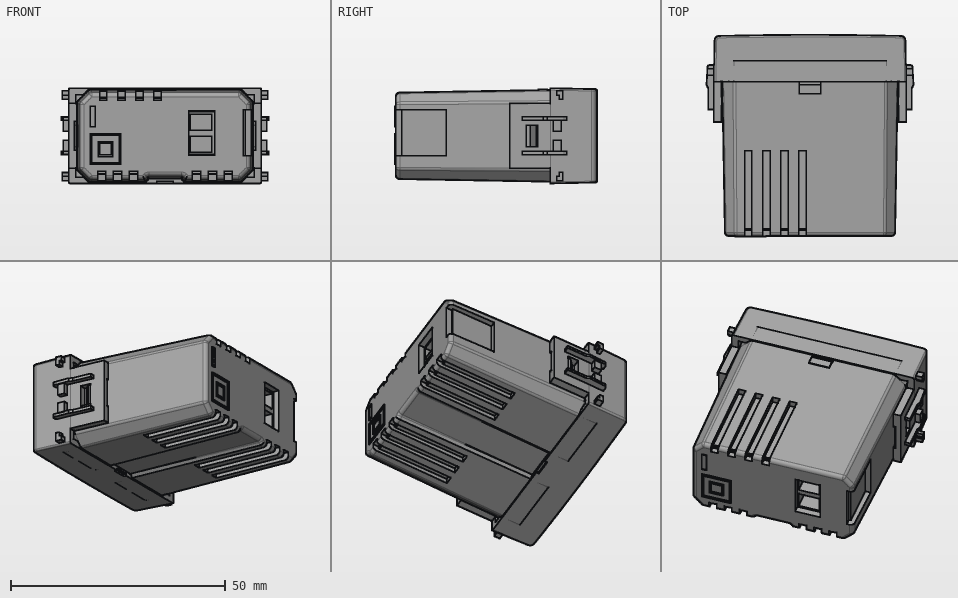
import cadquery as cq
import math


COVER_HALF_WIDTH = 22.5
COVER_HALF_HEIGHT = 22.3 / 2
COVER_DEPTH = 11.0
COVER_TAPER = 1.2
FACE_BOW = 0.3
FACE_END_RADIUS = 1.15
COVER_EDGE_RADIUS = 0.45
CORNER_POCKET_HALF_WIDTH = 20.85
CORNER_POCKET_HALF_HEIGHT = 9.65
RIM_NOTCH_WIDTH = 3.9
RIM_NOTCH_HEIGHT = 0.55
RIM_NOTCH_DEPTH = 0.7

WING_LENGTH = 9.45
WING_HALF_HEIGHT = 7.55
LEAD_IN_HALF_HEIGHT = 3.4
LEAD_IN_DEPTH = 0.6
LEAD_IN_LENGTH = 1.15
WINDOW_FRONT_Y = -2.9
WINDOW_BACK_Y = -5.6
WINDOW_HALF_HEIGHT = 2.5

OVERALL_HALF_WIDTH = 24.2
RAIL_OUTER_Z = 4.4
RAIL_THICKNESS = 0.77
RAIL_FRONT_Y = 3.9
RAIL_SHOULDER_Y = 3.15
RAIL_PEAK_Y = -0.7
RAIL_HEEL_Y = -1.55
RAIL_BACK_Y = -6.55
RAIL_FRONT_X = 23.4
RAIL_SHOULDER_X = 23.95
RAIL_BACK_X = 23.8
BLOCK_FRONT_Y = 2.6
BLOCK_BACK_Y = 0.77
BLOCK_INNER_Z = 1.0
NUB_X = 24.0
NUB_FRONT_Y = 3.0
NUB_STEP_Y = 2.1
NUB_BACK_Y = 1.5
NUB_OUTER_Z = 10.55
NUB_STEP_Z = 9.45
NUB_INNER_Z = 8.5
SNAP_ROOT_X = 21.3

HOUSING_HALF_WIDTH = 20.5
HOUSING_HALF_HEIGHT = 10.75
HOUSING_LENGTH = 36.05
HOUSING_TAPER = 1.0
PLUG_DEPTH = 4.85
PLUG_CLEARANCE = 0.1
WING_INNER_X = HOUSING_HALF_WIDTH + PLUG_CLEARANCE
HOUSING_CHAMFER = 2.75
CHAMFER_EDGE_RADIUS = 0.95
BACK_EDGE_RADIUS = 0.95
CHANNEL_HALF_WIDTH = 4.6
CHANNEL_DEPTH = 0.77

SLOT_FRONT_Y = -16.1
SLOT_FLOOR_Z = 8.95
SLOT_SILL_Z = 8.8
SLOT_NOTCH_FLOOR_Z = 8.32
SLOT_SILL_FRONT_Y = -34.3
SLOT_SILL_BACK_Y = -34.65
TOP_SLOT_WIDTH = 1.75
TOP_SLOT_COUNT = 4
TOP_SLOT_FIRST_X = -14.4
TOP_SLOT_PITCH = 4.2
BOTTOM_SLOT_WIDTH = 1.9
BOTTOM_SLOT_FIRST_X = 7.35
BOTTOM_SLOT_PITCH = 3.75
BOTTOM_SLOTS_PER_SIDE = 3

TAB_WIDTH = 5.05
TAB_TOP_Z = 10.9
TAB_FRONT_Y = -0.7
TAB_BACK_Y = -2.75
TAB_GAP_FLOOR_Z = 10.15

BARB_X = 21.95
BARB_FRONT_Y = -3.3
BARB_CREST_Y = -4.65

SIDE_NOTCH_X = 18.8
SIDE_NOTCH_FRONT_Y = -24.2
SIDE_NOTCH_TOP_Z = 6.05
SIDE_NOTCH_BOTTOM_Z = -4.65
SIDE_LEDGE_WIDTH = 0.5
SIDE_LEDGE_DEPTH = 1.45

TERMINAL_LEFT_X = 5.5
TERMINAL_RIGHT_X = 11.65
TERMINAL_WINDOW_TOP_Z = 5.8
TERMINAL_WINDOW_BOTTOM_Z = -4.5
TERMINAL_GAP = 0.2
TERMINAL_SETBACK = 1.45
TERMINAL_DEPTH = 7.25
WIRE_HOLE_LEFT_X = 5.9
WIRE_HOLE_RIGHT_X = 10.95
WIRE_HOLE_HEIGHT = 3.8
WIRE_HOLE_BOTTOMS = (1.25, -3.85)
WIRE_HOLE_DEPTH = 4.85

MARK_HEIGHT = 0.2
MARK_LEFT_X = -17.45
BAR_WIDTH = 1.15
BAR_BOTTOM_Z = 2.15
BAR_TOP_Z = 6.85
FRAME_SIZE = 7.15
FRAME_CENTER_Z = -3.1
FRAME_WALL = 0.4
INNER_FRAME_SIZE = 3.5

CLEARANCE = 2.4


def box(x0, x1, y0, y1, z0, z1):
    return cq.Workplane("XY").box(x1 - x0, y1 - y0, z1 - z0, centered=False).translate((x0, y0, z0))


def both_ends(shape):
    return shape.union(shape.mirror("YZ"))


def top_and_bottom(shape):
    return shape.union(shape.mirror("XY"))




def housing_section():
    """Octagon with a 45 degree sided channel along the bottom, as points (x, z)."""
    chamfer_x = HOUSING_HALF_WIDTH - HOUSING_CHAMFER
    chamfer_z = HOUSING_HALF_HEIGHT - HOUSING_CHAMFER
    floor_half_width = CHANNEL_HALF_WIDTH - CHANNEL_DEPTH
    right_side = [
        (floor_half_width, CHANNEL_DEPTH - HOUSING_HALF_HEIGHT),
        (CHANNEL_HALF_WIDTH, -HOUSING_HALF_HEIGHT),
        (chamfer_x, -HOUSING_HALF_HEIGHT),
        (HOUSING_HALF_WIDTH, -chamfer_z),
        (HOUSING_HALF_WIDTH, chamfer_z),
        (chamfer_x, HOUSING_HALF_HEIGHT),
    ]
    return right_side + [(-x, z) for x, z in reversed(right_side)]


def corner_edges(body):
    """The eight lengthwise edges at the ends of the corner chamfers."""
    inside = CHANNEL_HALF_WIDTH + CLEARANCE
    return body.edges("not(#Y)").filter(lambda edge: abs(edge.Center().x) > inside)


def vent_slot(x, width):
    """Slot in the top that steps down over a low sill to a deeper notch at the back face."""
    back = -HOUSING_LENGTH - CLEARANCE
    top = HOUSING_HALF_HEIGHT + CLEARANCE
    outline = [
        (SLOT_FRONT_Y, top),
        (SLOT_FRONT_Y, SLOT_FLOOR_Z),
        (SLOT_SILL_FRONT_Y, SLOT_FLOOR_Z),
        (SLOT_SILL_FRONT_Y, SLOT_SILL_Z),
        (SLOT_SILL_BACK_Y, SLOT_SILL_Z),
        (SLOT_SILL_BACK_Y, SLOT_NOTCH_FLOOR_Z),
        (back, SLOT_NOTCH_FLOOR_Z),
        (back, top),
    ]
    slot = cq.Workplane("YZ").polyline(outline).close().extrude(width / 2, both=True)
    return slot.translate((x, 0, 0))


def cut_vents(body):
    for i in range(TOP_SLOT_COUNT):
        body = body.cut(vent_slot(TOP_SLOT_FIRST_X + i * TOP_SLOT_PITCH, TOP_SLOT_WIDTH))
    for i in range(BOTTOM_SLOTS_PER_SIDE):
        slot = vent_slot(BOTTOM_SLOT_FIRST_X + i * BOTTOM_SLOT_PITCH, BOTTOM_SLOT_WIDTH)
        body = body.cut(both_ends(slot.mirror("XY")))
    return body


def add_latch_tab(body):
    half = TAB_WIDTH / 2
    gap = box(-half, half, TAB_FRONT_Y, 0, TAB_GAP_FLOOR_Z, TAB_TOP_Z + CLEARANCE)
    tab = box(-half, half, TAB_BACK_Y, TAB_FRONT_Y, TAB_GAP_FLOOR_Z, TAB_TOP_Z)
    return body.cut(gap).union(tab)


def add_barbs(body):
    root_x = HOUSING_HALF_WIDTH - CLEARANCE
    foot_x = HOUSING_HALF_WIDTH + BARB_FRONT_Y * math.tan(math.radians(HOUSING_TAPER))
    outline = [
        (root_x, BARB_FRONT_Y),
        (foot_x, BARB_FRONT_Y),
        (BARB_X, BARB_CREST_Y),
        (BARB_X, WINDOW_BACK_Y),
        (root_x, WINDOW_BACK_Y),
    ]
    barb = cq.Workplane("XY").polyline(outline).close().extrude(WINDOW_HALF_HEIGHT, both=True)
    return body.union(both_ends(barb))


def cut_side_notch(body):
    outer_x = HOUSING_HALF_WIDTH + CLEARANCE
    back = -HOUSING_LENGTH - CLEARANCE
    notch = box(SIDE_NOTCH_X, outer_x, back, SIDE_NOTCH_FRONT_Y, SIDE_NOTCH_BOTTOM_Z, SIDE_NOTCH_TOP_Z)
    ledge = box(
        SIDE_NOTCH_X - SIDE_LEDGE_WIDTH,
        outer_x,
        back,
        SIDE_LEDGE_DEPTH - HOUSING_LENGTH,
        SIDE_NOTCH_BOTTOM_Z,
        SIDE_NOTCH_TOP_Z,
    )
    return body.cut(notch).cut(ledge)


def cut_terminal_window(body):
    window = box(
        TERMINAL_LEFT_X,
        TERMINAL_RIGHT_X,
        -HOUSING_LENGTH - CLEARANCE,
        TERMINAL_SETBACK + TERMINAL_DEPTH - HOUSING_LENGTH,
        TERMINAL_WINDOW_BOTTOM_Z,
        TERMINAL_WINDOW_TOP_Z,
    )
    return body.cut(window)


def raised_frame(size):
    center_x = MARK_LEFT_X + FRAME_SIZE / 2
    inside = size - 2 * FRAME_WALL
    face = cq.Workplane("XZ", origin=(center_x, -HOUSING_LENGTH, FRAME_CENTER_Z))
    return face.rect(size, size).rect(inside, inside).extrude(MARK_HEIGHT)


def add_marks(body):
    back = -HOUSING_LENGTH
    bar = box(MARK_LEFT_X, MARK_LEFT_X + BAR_WIDTH, back - MARK_HEIGHT, back, BAR_BOTTOM_Z, BAR_TOP_Z)
    return body.union(bar).union(raised_frame(FRAME_SIZE)).union(raised_frame(INNER_FRAME_SIZE))


def make_plug(clearance=0.0):
    """Straight length of the housing's section inside the cover, enlarged by a clearance."""
    section = cq.Workplane("XZ").polyline(housing_section()).close()
    if clearance > 0:
        section = section.offset2D(clearance)
    return section.extrude(-PLUG_DEPTH)


def make_housing():
    section = cq.Workplane("XZ").polyline(housing_section()).close()
    body = section.extrude(HOUSING_LENGTH, taper=HOUSING_TAPER)
    body = corner_edges(body).fillet(CHAMFER_EDGE_RADIUS)
    body = body.faces("<Y").edges().fillet(BACK_EDGE_RADIUS)
    body = body.union(make_plug())
    body = cut_vents(body)
    body = add_latch_tab(body)
    body = add_barbs(body)
    body = cut_side_notch(body)
    body = cut_terminal_window(body)
    return add_marks(body)




def make_terminal_block():
    front = TERMINAL_SETBACK - HOUSING_LENGTH
    block = box(
        TERMINAL_LEFT_X,
        TERMINAL_RIGHT_X,
        front,
        front + TERMINAL_DEPTH,
        TERMINAL_WINDOW_BOTTOM_Z + TERMINAL_GAP,
        TERMINAL_WINDOW_TOP_Z - TERMINAL_GAP,
    )
    for bottom in WIRE_HOLE_BOTTOMS:
        hole = box(
            WIRE_HOLE_LEFT_X,
            WIRE_HOLE_RIGHT_X,
            front,
            front + WIRE_HOLE_DEPTH,
            bottom,
            bottom + WIRE_HOLE_HEIGHT,
        )
        block = block.cut(hole)
    return block




def cover_shell():
    """Tapered block with a bowed face and rounded edges."""
    shell = cq.Workplane("XZ").rect(2 * COVER_HALF_WIDTH, 2 * COVER_HALF_HEIGHT)
    shell = shell.extrude(-COVER_DEPTH - CLEARANCE, taper=COVER_TAPER)
    face_end_y = COVER_DEPTH - FACE_BOW
    bowed = (
        cq.Workplane("XY")
        .moveTo(-COVER_HALF_WIDTH, 0)
        .lineTo(-COVER_HALF_WIDTH, face_end_y)
        .threePointArc((0, COVER_DEPTH), (COVER_HALF_WIDTH, face_end_y))
        .lineTo(COVER_HALF_WIDTH, 0)
        .close()
        .extrude(COVER_HALF_HEIGHT, both=True)
    )
    shell = shell.intersect(bowed)
    shell = shell.faces(">X or <X").edges(">Y").fillet(FACE_END_RADIUS)
    return shell.faces(">Z or <Z").edges("not(<Y)").fillet(COVER_EDGE_RADIUS)


def cut_corner_pockets(shell):
    half_x = CORNER_POCKET_HALF_WIDTH
    half_z = CORNER_POCKET_HALF_HEIGHT
    pocket = box(-half_x, half_x, 0, PLUG_DEPTH, -half_z, half_z)
    return shell.cut(pocket).cut(make_plug(PLUG_CLEARANCE))


def cut_rim_notch(shell):
    half = RIM_NOTCH_WIDTH / 2
    top = RIM_NOTCH_HEIGHT - COVER_HALF_HEIGHT
    return shell.cut(box(-half, half, 0, RIM_NOTCH_DEPTH, top - CLEARANCE, top))


def wing():
    """Clip wing at the +X end, with a window for the barb and a lead-in slope on its inner face."""
    outer_x = COVER_HALF_WIDTH
    plate = box(WING_INNER_X, outer_x, -WING_LENGTH, 0, -WING_HALF_HEIGHT, WING_HALF_HEIGHT)
    slope = [
        (WING_INNER_X, -WING_LENGTH),
        (WING_INNER_X + LEAD_IN_DEPTH, -WING_LENGTH),
        (WING_INNER_X, -WING_LENGTH + LEAD_IN_LENGTH),
    ]
    lead_in = cq.Workplane("XY").polyline(slope).close().extrude(LEAD_IN_HALF_HEIGHT, both=True)
    half = WINDOW_HALF_HEIGHT
    window = box(WING_INNER_X, outer_x, WINDOW_BACK_Y, WINDOW_FRONT_Y, -half, half)
    return plate.cut(lead_in).cut(window)


def rail():
    """Snap rail at the upper +X end: a rounded nose, a slow rise to a peak, then a lower heel."""
    return (
        cq.Workplane("XY", origin=(0, 0, RAIL_OUTER_Z - RAIL_THICKNESS))
        .moveTo(SNAP_ROOT_X, RAIL_FRONT_Y)
        .lineTo(RAIL_FRONT_X, RAIL_FRONT_Y)
        .tangentArcPoint((RAIL_SHOULDER_X, RAIL_SHOULDER_Y), relative=False)
        .lineTo(OVERALL_HALF_WIDTH, RAIL_PEAK_Y)
        .lineTo(RAIL_BACK_X, RAIL_HEEL_Y)
        .lineTo(RAIL_BACK_X, RAIL_BACK_Y)
        .lineTo(SNAP_ROOT_X, RAIL_BACK_Y)
        .close()
        .extrude(RAIL_THICKNESS)
    )


def block():
    top = RAIL_OUTER_Z - RAIL_THICKNESS
    return box(SNAP_ROOT_X, RAIL_BACK_X, BLOCK_BACK_Y, BLOCK_FRONT_Y, BLOCK_INNER_Z, top)


def nub():
    """Stepped nub at the upper +X corner."""
    upper = box(SNAP_ROOT_X, NUB_X, NUB_BACK_Y, NUB_FRONT_Y, NUB_STEP_Z, NUB_OUTER_Z)
    lower = box(SNAP_ROOT_X, NUB_X, NUB_STEP_Y, NUB_FRONT_Y, NUB_INNER_Z, NUB_STEP_Z)
    return upper.union(lower)


def make_cover():
    shell = cut_rim_notch(cut_corner_pockets(cover_shell()))
    snaps = top_and_bottom(rail().union(block()).union(nub()))
    return shell.union(both_ends(wing().union(snaps)))


housing = make_housing()
terminal_block = make_terminal_block()
cover = make_cover()

result = cq.Compound.makeCompound([housing.val(), terminal_block.val(), cover.val()])